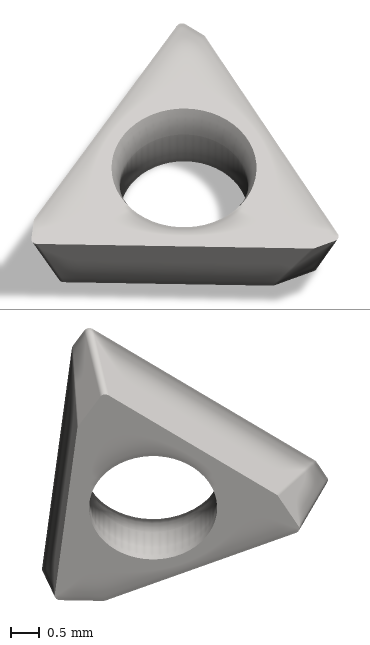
import cadquery as cq
import math

THICKNESS = 1.4
INSCRIBED_RADIUS = 1.68
SIDE_RELIEF = 7.0
CORNER_COUNT = 3

CORNER_CUT_START = 2.305
CORNER_CUT_ANGLE = 25.0
CORNER_CUT_RELIEF = 18.0
NOSE_RADIUS = 0.1

HOLE_DIAMETER = 2.25
SEAT_DIAMETER = 2.545
SEAT_DEPTH = 0.58

CUT_ANGLE = math.radians(CORNER_CUT_ANGLE)
CORNER_CUT_DISTANCE = INSCRIBED_RADIUS * math.cos(CUT_ANGLE) + CORNER_CUT_START * math.sin(CUT_ANGLE)


def tapered_triangle(inscribed_radius, facing_angle, relief):
    """Triangular prism narrowing downward; one flank faces facing_angle degrees."""
    corner_radius = inscribed_radius / math.cos(math.pi / CORNER_COUNT)
    corners = []
    for index in range(CORNER_COUNT):
        angle = math.radians(facing_angle + (index + 0.5) * 360 / CORNER_COUNT)
        corners.append((corner_radius * math.cos(angle), corner_radius * math.sin(angle)))
    return (
        cq.Workplane("XY", origin=(0, 0, THICKNESS))
        .polyline(corners)
        .close()
        .extrude(-THICKNESS, taper=relief)
    )


def insert_body():
    """Relieved triangle with angled corner cuts and rounded upright edges."""
    long_edge_facing = 180
    triangle = tapered_triangle(INSCRIBED_RADIUS, long_edge_facing, SIDE_RELIEF)
    corner_cuts = tapered_triangle(
        CORNER_CUT_DISTANCE, long_edge_facing + CORNER_CUT_ANGLE, CORNER_CUT_RELIEF
    )
    return triangle.intersect(corner_cuts).edges("not #Z").fillet(NOSE_RADIUS)


def screw_hole():
    """Through hole whose upper end flares out in an arc tangent to the bore."""
    bore_radius = HOLE_DIAMETER / 2
    flare = SEAT_DIAMETER / 2 - bore_radius
    arc_radius = (SEAT_DEPTH**2 + flare**2) / (2 * flare)
    seat_bottom = THICKNESS - SEAT_DEPTH
    half_sweep = math.asin(SEAT_DEPTH / arc_radius) / 2
    arc_middle = (
        bore_radius + arc_radius * (1 - math.cos(half_sweep)),
        seat_bottom + arc_radius * math.sin(half_sweep),
    )
    return (
        cq.Workplane("XZ")
        .moveTo(0, 0)
        .lineTo(bore_radius, 0)
        .lineTo(bore_radius, seat_bottom)
        .threePointArc(arc_middle, (SEAT_DIAMETER / 2, THICKNESS))
        .lineTo(0, THICKNESS)
        .close()
        .revolve(360, (0, 0, 0), (0, 1, 0))
    )


result = insert_body().cut(screw_hole())